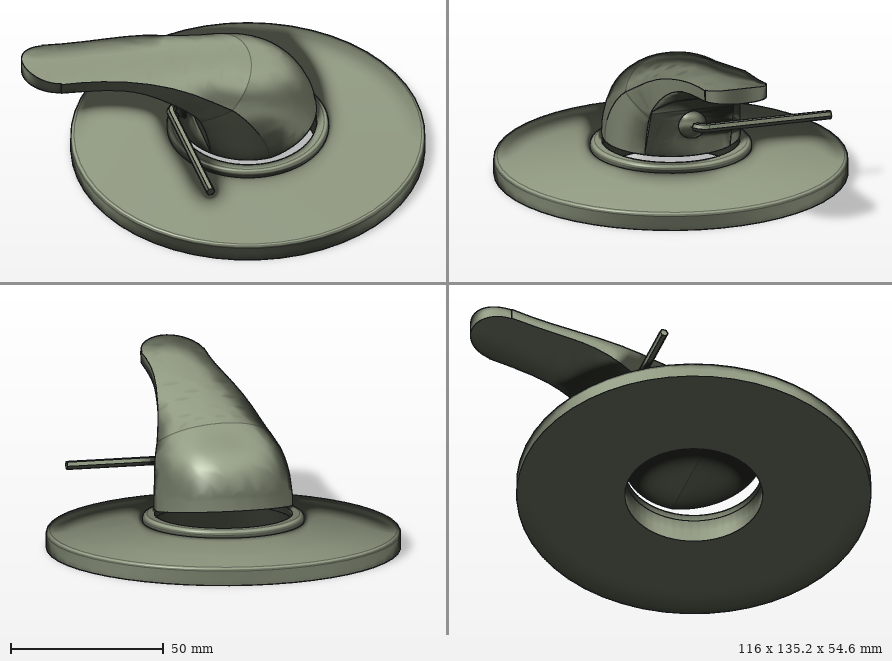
import cadquery as cq
import math

plate_radius = 58.0
plate_wall_height = 4.9
plate_edge_round = 1.1
dome_edge_height = 6.0
seat_height = 8.9
hole_radius = 22.6

ring_radius = 26.5
ring_top = 11.4
ring_fillet = 1.5

handle_radius = 22.7
handle_bottom = 13.4
lever_tip_half_width = 10.3
lever_tip_start_y = -67.4
lever_reach = 77.2
front_bottom_half_width = 14.7
front_top_half_width = 14.2
front_shoulder_height = 29.3
front_top = 32.7
front_back_y = -12.2

button_height = 24.1
button_sphere_radius = 5.5
button_centre_y = -19.7
button_seat_y = -21.6
key_across_flats = 2.5
key_axis_y = -27.3
key_end_x = 46.0
key_bend_radius = 3.9


def make_plate():
    """Disc with a rounded rim, a spherical top and a flat seat around the centre hole."""
    rim_inner = plate_radius - plate_edge_round
    dome_rise = seat_height - dome_edge_height
    dome_radius = (rim_inner**2 - ring_radius**2) / (2 * dome_rise)
    middle_radius = (rim_inner + ring_radius) / 2
    middle_height = seat_height - (middle_radius**2 - ring_radius**2) / (2 * dome_radius)
    round_share = math.sqrt(0.5)
    round_middle = (
        rim_inner + plate_edge_round * round_share,
        plate_wall_height + (dome_edge_height - plate_wall_height) * round_share,
    )
    return (
        cq.Workplane("XZ")
        .moveTo(hole_radius, 0)
        .lineTo(plate_radius, 0)
        .lineTo(plate_radius, plate_wall_height)
        .threePointArc(round_middle, (rim_inner, dome_edge_height))
        .threePointArc((middle_radius, middle_height), (ring_radius, seat_height))
        .lineTo(hole_radius, seat_height)
        .close()
        .revolve(360, (0, 0, 0), (0, 1, 0))
    )


def make_ring():
    """Flat ring with a rounded outer top edge and the same hole as the plate."""
    ring = cq.Workplane("XY").workplane(offset=seat_height).circle(ring_radius)
    ring = ring.extrude(ring_top - seat_height)
    ring = ring.faces(">Z").edges().fillet(ring_fillet)
    hole = cq.Workplane("XY").circle(hole_radius).extrude(ring_top)
    return ring.cut(hole)


handle_sections = [
    ((22.5, 17.0), (handle_radius, 0.0, 13.3), 14.7, 17.5, 2.2, 0),
    ((20.8, 24.0), (handle_radius, -0.4, 17.6), 14.7, 17.6, 2.0, 0),
    ((17.0, 31.0), (22.5, -2.7, 23.0), 14.6, 16.2, 1.6, 0),
    ((10.7, 37.0), (21.4, -6.8, 29.1), 14.5, 13.8, 1.1, 0.7),
    ((0.0, 41.7), (19.5, -11.5, 33.8), 14.3, 11.5, 0.5, 1.8),
    ((-14.9, 44.6), (16.8, -21.0, 39.4), 14.0, 8.1, 0, 2.2),
    ((-29.8, 47.3), (14.0, -32.5, 44.6), 13.0, 5.7, 0, 0.7),
    ((-46.0, 50.0), (11.6, -46.0, 48.3), 11.5, 3.9, 0, 0),
    ((-62.2, 52.5), (10.5, -62.2, 51.0), 10.5, 3.8, 0, 0),
    ((-78.5, 54.8), (10.3, -78.5, 53.4), 10.4, 3.8, 0, 0),
]
seam_section = 4


def arc_or_line(start, middle, end):
    """Edge from start to end through middle, straight when the three points line up."""
    if (middle - (start + end) * 0.5).Length < 1.35e-06:
        return cq.Edge.makeLine(start, end)
    return cq.Edge.makeThreePointArc(start, middle, end)


def section_wire(ridge, upper, lower_half_width, wall_length, wall_bulge, arch):
    """Closed outline of one handle section: crown arc, two walls and underside."""
    upper_half_width, upper_y, upper_z = upper
    top = cq.Vector(0, *ridge)
    edge_centre = cq.Vector(0, upper_y, upper_z)
    down = (edge_centre - top).normalized()
    foot_centre = edge_centre + down * wall_length
    across = cq.Vector(1, 0, 0)
    upper_right = edge_centre + across * upper_half_width
    upper_left = edge_centre - across * upper_half_width
    lower_right = foot_centre + across * lower_half_width
    lower_left = foot_centre - across * lower_half_width
    taper = (upper_half_width - lower_half_width) / wall_length
    outward = (across + down * taper).normalized() * wall_bulge
    outward_left = cq.Vector(-outward.x, outward.y, outward.z)
    right_middle = (upper_right + lower_right) * 0.5 + outward
    left_middle = (upper_left + lower_left) * 0.5 + outward_left
    return cq.Wire.assembleEdges([
        cq.Edge.makeThreePointArc(upper_left, top, upper_right),
        arc_or_line(upper_right, right_middle, lower_right),
        arc_or_line(lower_right, foot_centre - down * arch, lower_left),
        arc_or_line(lower_left, left_middle, upper_left),
    ])


def make_handle_front():
    """Front of the base: round at the bottom, flat at the shoulder and up to the underside."""
    round_edge_y = -math.sqrt(handle_radius**2 - front_bottom_half_width**2)
    bottom = (
        cq.Workplane("XY", origin=(0, 0, handle_bottom))
        .moveTo(-front_bottom_half_width, front_back_y)
        .lineTo(-front_bottom_half_width, round_edge_y)
        .threePointArc((0, -handle_radius), (front_bottom_half_width, round_edge_y))
        .lineTo(front_bottom_half_width, front_back_y)
        .close()
    )
    shoulder = (
        cq.Workplane("XY", origin=(0, 0, front_shoulder_height))
        .moveTo(-front_top_half_width, front_back_y)
        .lineTo(-front_top_half_width, -handle_radius)
        .lineTo(front_top_half_width, -handle_radius)
        .lineTo(front_top_half_width, front_back_y)
        .close()
    )
    lower = cq.Solid.makeLoft([bottom.wire().val(), shoulder.wire().val()], True)
    upper = shoulder.extrude(front_top - front_shoulder_height)
    return upper.union(cq.Workplane(lower))


def make_handle():
    """Crown and lever with a level underside at the front and a round lever tip."""
    wires = [section_wire(*section) for section in handle_sections]
    crown = cq.Workplane(cq.Solid.makeLoft(wires[: seam_section + 1]))
    lever = cq.Workplane(cq.Solid.makeLoft(wires[seam_section:]))
    handle = crown.union(lever).union(make_handle_front())

    below = cq.Workplane("XY").box(
        4 * handle_radius, 4 * handle_radius, handle_bottom, centered=(True, True, False)
    )
    handle = handle.cut(below)

    side = 2 * handle_radius
    ceiling = lever_reach
    keep = (
        cq.Workplane("XY")
        .moveTo(-side, side)
        .lineTo(-side, lever_tip_start_y)
        .lineTo(-lever_tip_half_width, lever_tip_start_y)
        .threePointArc((0, -lever_reach), (lever_tip_half_width, lever_tip_start_y))
        .lineTo(side, lever_tip_start_y)
        .lineTo(side, side)
        .close()
        .extrude(ceiling)
    )
    return handle.intersect(keep)


def make_button():
    """Spherical cap whose flat back sits inside the front of the handle."""
    sphere = cq.Workplane("XY").sphere(button_sphere_radius)
    sphere = sphere.translate((0, button_centre_y, button_height))
    size = 2 * button_sphere_radius
    behind = cq.Workplane("XY").box(size, size, size, centered=(True, False, True))
    behind = behind.translate((0, button_seat_y, button_height))
    return sphere.cut(behind)


def make_key():
    """Hexagonal key leaving the button forwards and bending towards +X."""
    bend_start_y = key_axis_y + key_bend_radius
    bend_middle = key_bend_radius * (1 - math.sqrt(0.5))
    path = (
        cq.Workplane("XY", origin=(0, 0, button_height))
        .moveTo(0, bend_start_y)
        .threePointArc((bend_middle, key_axis_y + bend_middle), (key_bend_radius, key_axis_y))
        .lineTo(key_end_x, key_axis_y)
    )
    across_corners = key_across_flats / math.cos(math.pi / 6)
    profile = cq.Workplane("XZ", origin=(0, bend_start_y, button_height)).polygon(6, across_corners)
    return profile.sweep(path)


plate = make_plate()
ring = make_ring()
button_blank = make_button()
handle = make_handle().cut(button_blank)
key = make_key()
button = button_blank.cut(key)

result = cq.Compound.makeCompound(
    [plate.val(), ring.val(), handle.val(), button.val(), key.val()]
)